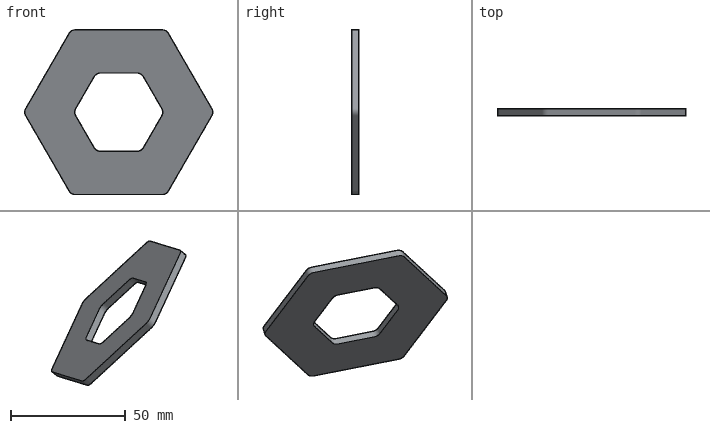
import cadquery as cq
import math

width = 82.2
thickness = 3.2
corner_radius = 3.0
opening_flats = 34.0

corners_per_flats = 2 / math.sqrt(3)

corner_loss = corner_radius * (corners_per_flats - 1)
plate_corners = width + 2 * corner_loss
opening_corners = opening_flats * corners_per_flats


def rounded_hexagon(across_corners):
    """Hexagonal slab centred on the origin, with two corners on the X axis."""
    return (
        cq.Workplane("XZ")
        .polygon(6, across_corners)
        .extrude(thickness / 2, both=True)
        .edges("|Y")
        .fillet(corner_radius)
    )


plate = rounded_hexagon(plate_corners)
opening = rounded_hexagon(opening_corners)
result = plate.cut(opening)